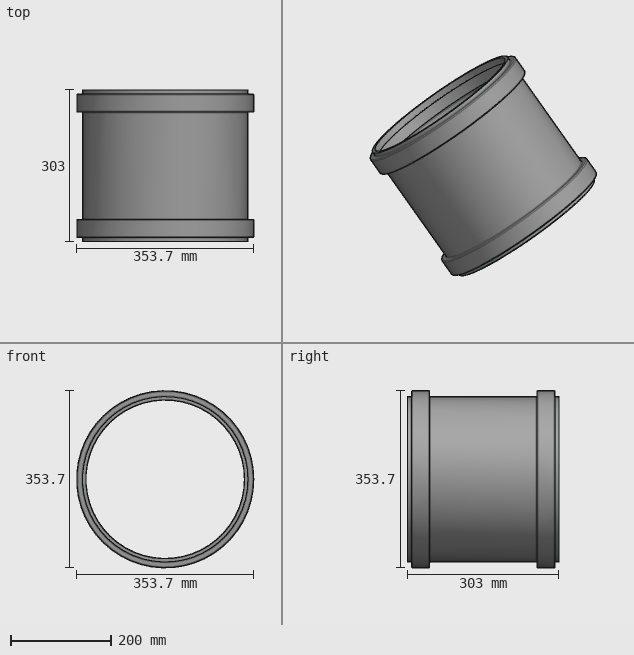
import cadquery as cq


length = 303.0
wall = 6.9

bore_diameter = 316.0
mouth_diameter = 316.3
groove_diameter = 339.9

bore_radius = bore_diameter / 2
mouth_radius = mouth_diameter / 2
groove_radius = groove_diameter / 2

body_outer_radius = bore_radius + wall
mouth_outer_radius = mouth_radius + wall
collar_radius = groove_radius + wall

collar_start = 8.5
collar_width = 36.0
collar_end = collar_start + collar_width
groove_start = 13.5
groove_end = collar_end - wall

collar_edge_fillet = 2.0
collar_root_fillet = 1.5
groove_edge_fillet = 1.0

tolerance = 0.01


def disc(radius, start, end):
    """Solid disc about Y, its faces at start and end inward from the -Y end."""
    plane = cq.Workplane("XZ", origin=(0, start - length / 2, 0))
    return plane.circle(radius).extrude(start - end)


def disc_pair(radius, start, end):
    """Matching discs at both ends of the sleeve."""
    front = disc(radius, start, end)
    return front.union(front.mirror("XZ"))


def fillet_rims(solid, rim_radius, distance, fillet_radius):
    """Fillet the two circular edges lying the given distance from the ends."""
    rim_y = length / 2 - distance

    def is_rim(edge):
        same_size = abs(edge.radius() - rim_radius) < tolerance
        same_place = abs(abs(edge.Center().y) - rim_y) < tolerance
        return same_size and same_place

    return solid.edges("%CIRCLE").filter(is_rim).fillet(fillet_radius)


def make_outside():
    """Sleeve with its two collars, still solid inside."""
    outside = disc(body_outer_radius, collar_end, length - collar_end)
    outside = outside.union(disc_pair(mouth_outer_radius, 0, collar_start))
    outside = outside.union(disc_pair(collar_radius, collar_start, collar_end))
    for distance in (collar_start, collar_end):
        outside = fillet_rims(outside, collar_radius, distance, collar_edge_fillet)
    outside = fillet_rims(outside, mouth_outer_radius, collar_start, collar_root_fillet)
    return fillet_rims(outside, body_outer_radius, collar_end, collar_root_fillet)


def cut_inside(outside):
    """Bore the sleeve, then open the mouths and the seal grooves."""
    sleeve = outside.cut(disc(bore_radius, 0, length))
    sleeve = sleeve.cut(disc_pair(mouth_radius, 0, groove_start))
    sleeve = sleeve.cut(disc_pair(groove_radius, groove_start, groove_end))
    return fillet_rims(sleeve, bore_radius, groove_end, groove_edge_fillet)


result = cut_inside(make_outside())